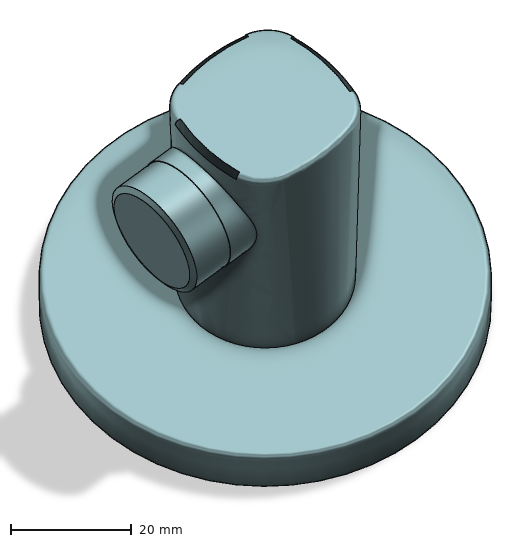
import cadquery as cq
import math

flange_diameter = 74.9
flange_height = 8.0
edge_round = 1.0

total_height = 56.0
foot_diameter = 30.0
top_width = 28.2
top_corner_radius = 7.5
top_side_bow = 0.7

outlet_diameter = 21.0
outlet_height = 41.0
outlet_reach = 25.25
collar_diameter = 21.2
collar_reach = 17.2
outlet_chamfer_length = 0.6
outlet_chamfer_inset = 1.1


def make_flange():
    disc = cq.Workplane("XY").circle(flange_diameter / 2).extrude(flange_height)
    return disc.faces(">Z").edges().fillet(edge_round)


def polar(center, radius, angle):
    """Point on a circle, with the angle in radians."""
    return (center[0] + radius * math.cos(angle), center[1] + radius * math.sin(angle))


def rotate(point, angle):
    return polar((0, 0), math.hypot(*point), math.atan2(point[1], point[0]) + angle)


def four_sided_outline(plane, half_width, corner_radius, bow):
    """Four shallow side arcs joined tangentially by four corner arcs."""
    corner_offset = half_width - bow - corner_radius
    shift = corner_offset - half_width
    side_radius = (corner_radius**2 - corner_offset**2 - shift**2) / (2 * (shift + corner_radius))
    side_center = (half_width - side_radius, 0)
    join_angle = math.atan2(corner_offset, corner_offset - side_center[0])
    corner_center = (corner_offset, corner_offset)

    side_start = polar(side_center, side_radius, -join_angle)
    side_end = polar(side_center, side_radius, join_angle)
    corner_middle = polar(corner_center, corner_radius, math.pi / 4)
    outline = plane.moveTo(*side_start)
    for quarter in range(4):
        turn = quarter * math.pi / 2
        outline = outline.threePointArc(rotate((half_width, 0), turn), rotate(side_end, turn))
        next_start = rotate(side_start, turn + math.pi / 2)
        outline = outline.threePointArc(rotate(corner_middle, turn), next_start)
    return outline.close()


def circle_outline(plane, radius, split_angle):
    """Circle cut into eight arcs, so that each pairs with one arc of the top outline."""
    outline = plane.moveTo(*polar((0, 0), radius, -split_angle))
    for quarter in range(4):
        turn = quarter * math.pi / 2
        for middle, end in ((0, split_angle), (math.pi / 4, math.pi / 2 - split_angle)):
            outline = outline.threePointArc(
                polar((0, 0), radius, turn + middle), polar((0, 0), radius, turn + end)
            )
    return outline.close()


def make_post():
    foot = circle_outline(
        cq.Workplane("XY").workplane(offset=flange_height), foot_diameter / 2, math.pi / 8
    )
    head_plane = foot.workplane(offset=total_height - flange_height)
    post = four_sided_outline(head_plane, top_width / 2, top_corner_radius, top_side_bow).loft(ruled=True)
    return post.faces(">Z").edges().fillet(edge_round)


def make_outlet():
    radius = outlet_diameter / 2
    collar_radius = collar_diameter / 2
    half_profile = (
        cq.Workplane("YZ", origin=(0, 0, outlet_height))
        .polyline([
            (0, 0),
            (0, collar_radius),
            (-collar_reach, collar_radius),
            (-collar_reach, radius),
            (outlet_chamfer_length - outlet_reach, radius),
            (-outlet_reach, radius - outlet_chamfer_inset),
            (-outlet_reach, 0),
        ])
        .close()
    )
    return half_profile.revolve(360, (0, 0, 0), (1, 0, 0))


result = make_flange().union(make_post()).union(make_outlet())